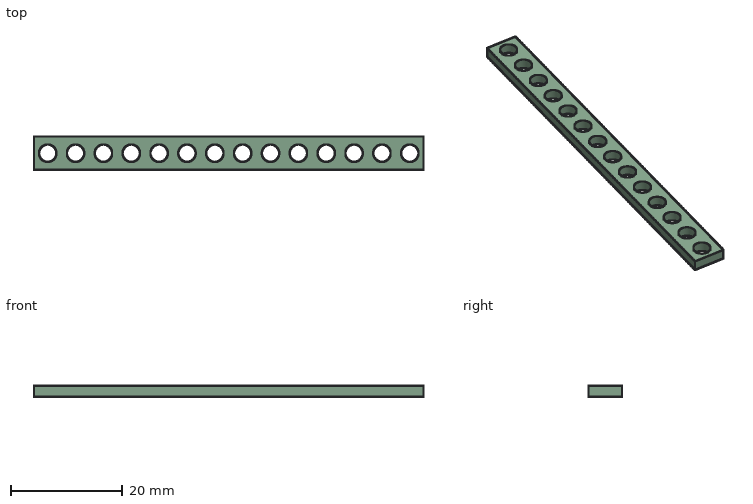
import cadquery as cq

length = 70.0
width = 6.0
thickness = 2.0

hole_count = 14
hole_diameter = 3.1
hole_pitch = length / hole_count

bar = cq.Workplane("XY").box(length, width, thickness)

result = (
    bar.faces(">Z")
    .workplane()
    .rarray(hole_pitch, 0.7, hole_count, 1)
    .hole(hole_diameter)
)